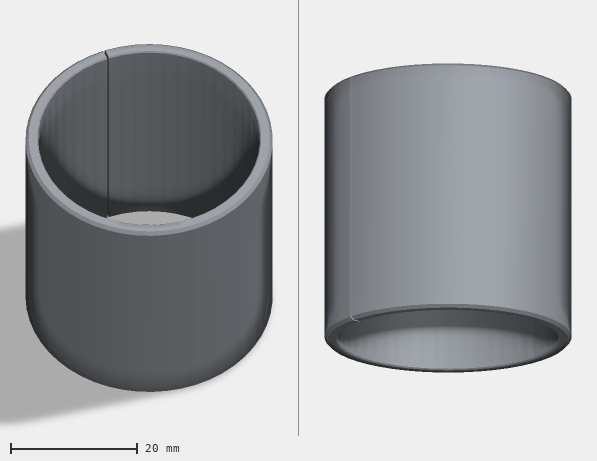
import math

import cadquery as cq

OUTER_DIAMETER = 39.0
BORE_DIAMETER = 35.0
LENGTH = 40.0
OUTER_CHAMFER = 0.5
BORE_CHAMFER = 0.2
SPLIT_ANGLE = 1.0

OUTER_RADIUS = OUTER_DIAMETER / 2
BORE_RADIUS = BORE_DIAMETER / 2
HALF_LENGTH = LENGTH / 2


def make_sleeve():
    """Revolve the wall section, with both rims chamfered inside and outside."""
    rim_inner = BORE_RADIUS + BORE_CHAMFER
    rim_outer = OUTER_RADIUS - OUTER_CHAMFER
    bore_end = HALF_LENGTH - BORE_CHAMFER
    side_end = HALF_LENGTH - OUTER_CHAMFER
    section = [
        (BORE_RADIUS, -bore_end),
        (rim_inner, -HALF_LENGTH),
        (rim_outer, -HALF_LENGTH),
        (OUTER_RADIUS, -side_end),
        (OUTER_RADIUS, side_end),
        (rim_outer, HALF_LENGTH),
        (rim_inner, HALF_LENGTH),
        (BORE_RADIUS, bore_end),
    ]
    axis_start = (0, 0)
    axis_end = (0, 1)
    return cq.Workplane("XZ").polyline(section).close().revolve(360, axis_start, axis_end)


def make_split_wedge():
    """Thin wedge from the axis through the -X wall, with one face on the plane Y = 0."""
    reach = OUTER_DIAMETER
    opening = reach * math.tan(math.radians(SPLIT_ANGLE))
    wedge = cq.Workplane("XY").polyline([(0, 0), (-reach, 0), (-reach, opening)]).close()
    return wedge.extrude(LENGTH, both=True)


result = make_sleeve().cut(make_split_wedge())